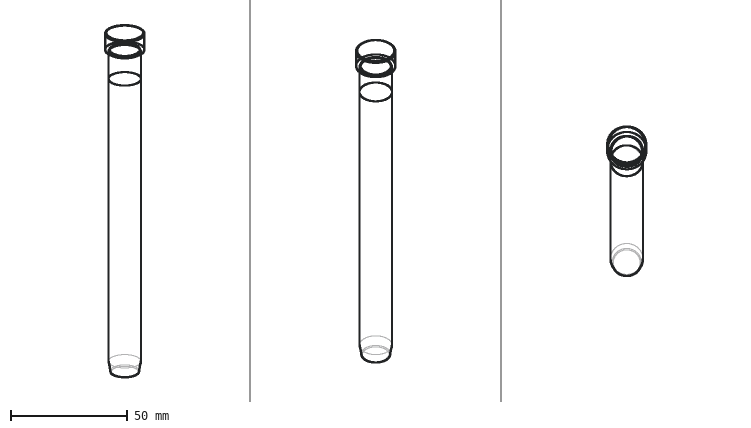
import cadquery as cq

total_length = 160.0

head_radius = 8.5
head_height = 8.0
head_chamfer = 0.5

mount_radius = 7.0
mount_end_depth = 21.8
undercut_depth = 0.5
undercut_width = 1.0
undercut_taper_height = 0.5

shaft_clearance = 0.03
shaft_radius = mount_radius - shaft_clearance

lead_length = 5.0
lead_radius_drop = 0.8
lead_hollow = 0.08
tip_fillet = 0.5

mount_end_z = total_length - mount_end_depth
head_bottom_z = total_length - head_height


def revolve_about_z(profile):
    """Full turn of a closed XZ profile about the pin axis."""
    return profile.revolve(360, (0, 0, 0), (0, 1, 0))


def make_head_section():
    """Head and mounting section, with the undercut between them."""
    mount_top_z = head_bottom_z - undercut_width
    undercut_radius = mount_radius - undercut_depth
    profile = (
        cq.Workplane("XZ")
        .moveTo(0, mount_end_z)
        .lineTo(mount_radius, mount_end_z)
        .lineTo(mount_radius, mount_top_z)
        .lineTo(undercut_radius, mount_top_z + undercut_taper_height)
        .lineTo(undercut_radius, head_bottom_z)
        .lineTo(head_radius, head_bottom_z)
        .lineTo(head_radius, total_length)
        .lineTo(0, total_length)
        .close()
    )
    return revolve_about_z(profile).faces(">Z").edges().chamfer(head_chamfer)


def make_shaft():
    """Long guiding shaft with the lead-in at its lower end."""
    tip_radius = shaft_radius - lead_radius_drop
    lead_middle = ((shaft_radius + tip_radius) / 2 - lead_hollow, lead_length / 2)
    profile = (
        cq.Workplane("XZ")
        .lineTo(tip_radius, 0)
        .threePointArc(lead_middle, (shaft_radius, lead_length))
        .lineTo(shaft_radius, mount_end_z)
        .lineTo(0, mount_end_z)
        .close()
    )
    return revolve_about_z(profile).faces("<Z").edges().fillet(tip_fillet)


head_section = make_head_section()
shaft = make_shaft()

result = cq.Compound.makeCompound([head_section.val(), shaft.val()])